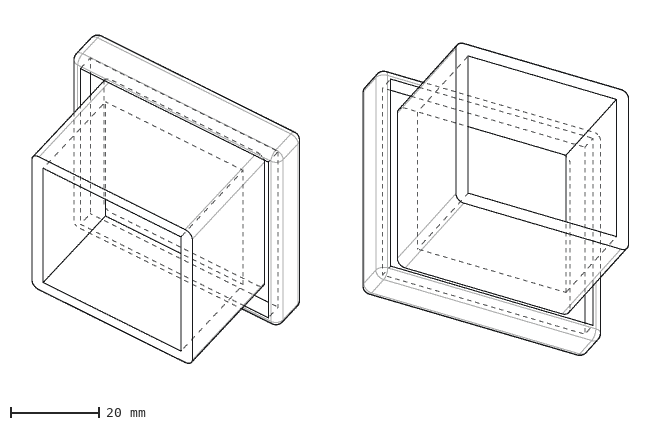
import cadquery as cq

plate_side = 57.0
plate_thickness = 10.0
edge_radius = 2.0
recess_side = 51.5
recess_depth = 4.0
total_depth = 35.0
plug_side = 44.0
plug_corner_radius = 2.0
cavity_side = 37.8
cavity_depth = 25.0

plug_end_y = -total_depth / 2
plate_back_y = total_depth / 2
plate_front_y = plate_back_y - plate_thickness
recess_floor_y = plate_front_y + recess_depth


def square_block(side, start_y, end_y):
    """Square block centred on the Y axis, spanning start_y to end_y."""
    length = end_y - start_y
    return cq.Workplane("XY").box(side, length, side).translate((0, start_y + length / 2, 0))


plate = square_block(plate_side, plate_front_y, plate_back_y).edges().fillet(edge_radius)
plate = plate.cut(square_block(recess_side, plate_front_y, recess_floor_y))

plug = square_block(plug_side, plug_end_y, recess_floor_y).edges("|Y").fillet(plug_corner_radius)

cavity = square_block(cavity_side, plug_end_y, plug_end_y + cavity_depth)

result = plate.union(plug).cut(cavity)